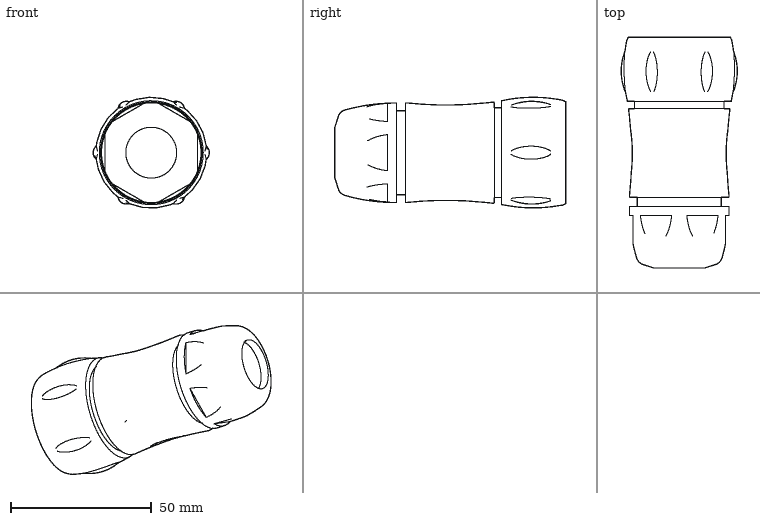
import cadquery as cq

length = 82.19

rear_nut_front = 59.3
rear_nut_crown_y = 70.9
rear_nut_crown_radius = 19.755
rear_nut_end_radius = 18.5
rear_rim_height = 1.1
rear_rim_radius = 18.7
rear_face_radius = 18.15

grip_count = 6
grip_y = 70.05
grip_tip_radius = 20.695
grip_girth_radius = 3.05
grip_half_length = 10.4

rear_neck_radius = 16.0
front_neck_radius = 15.0

sleeve_front = 25.15
sleeve_rear = 56.75
sleeve_waist_y = 39.5
sleeve_waist_radius = 17.0
sleeve_front_radius = 17.8
sleeve_rear_radius = 18.1
sleeve_edge_fillet = 0.35

dimple_count = 6
dimple_y = 41.25
dimple_floor_radius = 16.0
dimple_girth_radius = 5.8
dimple_half_length = 15.4
dimple_rim_reach = 10
dimple_rim_fillet = 0.7

front_nut_rear = 22.0
front_nut_rear_radius = 17.75
front_nut_mid_y = 12.5
front_nut_mid_radius = 17.15
shoulder_y = 3.8
shoulder_radius = 15.3
nose_y = 1.35
nose_radius = 13.25
nose_bulge_y = 2.1
nose_bulge_radius = 14.3
flat_count = 6
flat_apothem = 16.5
flat_rear = 18.7
recess_radius = 9.05
recess_depth = 3.0


def turned(outline):
    """Turn a closed (radius, y) outline a full circle about the Y axis."""
    return outline.close().revolve(360, (0, 0, 0), (0, 1, 0))


def ring_of(body, count):
    """Copies of a body spaced evenly about the Y axis, the first one at +X."""
    return [body.rotate((0, 0, 0), (0, 1, 0), i * 360 / count) for i in range(count)]


def spindle(axis_radius, center_y, half_length, girth_radius):
    """A pointed lens-shaped body turned about an axis parallel to Y, at x = axis_radius."""
    return (
        cq.Workplane("XY", origin=(axis_radius, center_y, 0))
        .moveTo(0, -half_length)
        .threePointArc((girth_radius, 0), (0, half_length))
        .close()
        .revolve(360, (0, 0, 0), (0, 1, 0))
    )


def make_rear_nut():
    rim_start_y = length - rear_rim_height
    nut = turned(
        cq.Workplane("XY")
        .moveTo(0, rear_nut_front)
        .lineTo(rear_nut_end_radius, rear_nut_front)
        .threePointArc((rear_nut_crown_radius, rear_nut_crown_y), (rear_rim_radius, rim_start_y))
        .lineTo(rear_face_radius, length)
        .lineTo(0, length)
    )
    grip = spindle(grip_tip_radius - grip_girth_radius, grip_y, grip_half_length, grip_girth_radius)
    for copy in ring_of(grip, grip_count):
        nut = nut.union(copy)
    return nut


def make_sleeve():
    sleeve = turned(
        cq.Workplane("XY")
        .moveTo(0, sleeve_front)
        .lineTo(sleeve_front_radius, sleeve_front)
        .threePointArc((sleeve_waist_radius, sleeve_waist_y), (sleeve_rear_radius, sleeve_rear))
        .lineTo(0, sleeve_rear)
    )
    sleeve = sleeve.faces("<Y or >Y").edges().fillet(sleeve_edge_fillet)
    dimple_axis_radius = dimple_floor_radius + dimple_girth_radius
    dimple = spindle(dimple_axis_radius, dimple_y, dimple_half_length, dimple_girth_radius)
    for copy in ring_of(dimple, dimple_count):
        sleeve = sleeve.cut(copy)
    rim_selector = cq.selectors.BoxSelector(
        (-sleeve_rear_radius, dimple_y - dimple_rim_reach, -sleeve_rear_radius),
        (sleeve_rear_radius, dimple_y + dimple_rim_reach, sleeve_rear_radius),
        boundingbox=True,
    )
    return sleeve.edges(rim_selector).fillet(dimple_rim_fillet)


def make_front_nut():
    nut = turned(
        cq.Workplane("XY")
        .lineTo(recess_radius, 0)
        .lineTo(nose_radius, nose_y)
        .threePointArc((nose_bulge_radius, nose_bulge_y), (shoulder_radius, shoulder_y))
        .threePointArc((front_nut_mid_radius, front_nut_mid_y), (front_nut_rear_radius, front_nut_rear))
        .lineTo(0, front_nut_rear)
    )
    flat_cutter = cq.Workplane("XY", origin=(flat_apothem, 0, 0)).box(
        front_nut_rear_radius,
        flat_rear,
        2 * front_nut_rear_radius,
        centered=(False, False, True),
    )
    for copy in ring_of(flat_cutter, flat_count):
        nut = nut.cut(copy)
    recess = cq.Workplane("XZ").circle(recess_radius).extrude(-recess_depth)
    return nut.cut(recess)


def make_neck(radius, start, end):
    return cq.Workplane("XZ", origin=(0, start, 0)).circle(radius).extrude(start - end)


result = (
    make_front_nut()
    .union(make_neck(front_neck_radius, front_nut_rear, sleeve_front))
    .union(make_sleeve())
    .union(make_neck(rear_neck_radius, sleeve_rear, rear_nut_front))
    .union(make_rear_nut())
)